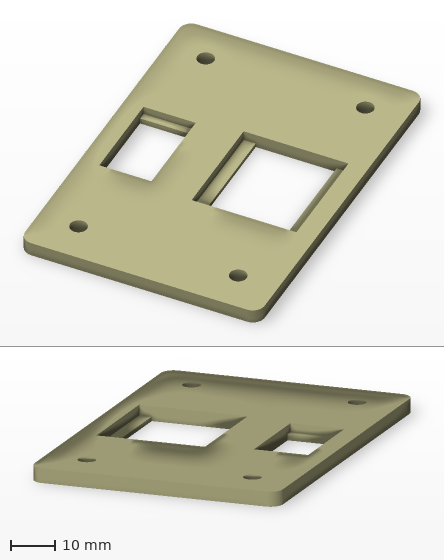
import cadquery as cq

plate_width = 60.0
plate_length = 86.0
plate_thickness = 3.5
corner_radius = 3.0

hole_diameter = 4.2
hole_spacing_x = 40.0
hole_spacing_y = 66.0

small_center_x = -18.7
small_width = 13.1
small_length = 23.0
small_ledge_width = 1.8
small_ledge_thickness = 1.5

large_center_x = 12.0
large_width = 26.2
large_length = 27.0
large_ledge_width = 3.0
large_ledge_thickness = 1.0


def rectangular_cut(center_x, width, length, floor_z):
    """Cutting block from floor_z up to the top face of the plate."""
    return (
        cq.Workplane("XY", origin=(center_x, 0, floor_z))
        .rect(width, length)
        .extrude(plate_thickness - floor_z)
    )


def stepped_window(center_x, width, length, ledge_x, ledge_y, ledge_thickness):
    """Recess above the ledges joined to the narrower opening through the plate."""
    recess = rectangular_cut(center_x, width, length, ledge_thickness)
    opening = rectangular_cut(center_x, width - 2 * ledge_x, length - 2 * ledge_y, 0)
    return recess.union(opening)


plate = (
    cq.Workplane("XY")
    .rect(plate_width, plate_length)
    .extrude(plate_thickness)
    .edges("|Z")
    .fillet(corner_radius)
)

mounting_holes = (
    cq.Workplane("XY")
    .rect(hole_spacing_x, hole_spacing_y, forConstruction=True)
    .vertices()
    .circle(hole_diameter / 2)
    .extrude(plate_thickness)
)

small_window = stepped_window(
    small_center_x, small_width, small_length, 0, small_ledge_width, small_ledge_thickness
)
large_window = stepped_window(
    large_center_x, large_width, large_length, large_ledge_width, 0, large_ledge_thickness
)

result = plate.cut(mounting_holes).cut(small_window).cut(large_window)